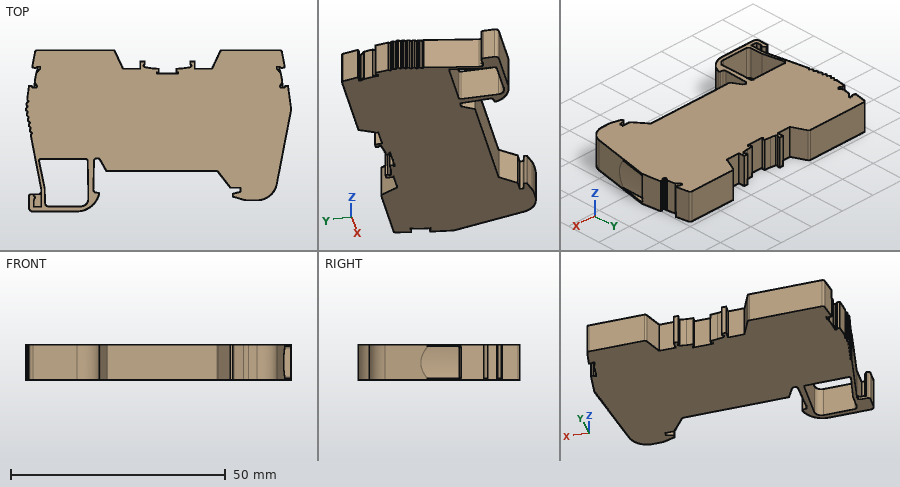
import cadquery as cq

LENGTH = 61.8
HEIGHT = 37.6
THICKNESS = 8.2
MID_X = LENGTH / 2

BEND_Y = 23.8
FOOT_SIDE_X = 58.4
FOOT_SIDE_Y = 6.2
SHOULDER_INSET = 0.75
SHOULDER_Y = 29.25
TOP_INSET = 2.2
FLANK_SLOPE = (LENGTH - FOOT_SIDE_X) / (BEND_Y - FOOT_SIDE_Y)

RECESS_X = 33.0
RECESS_TOP_HALF = 12.35
RECESS_FLOOR_HALF = 10.3
RECESS_Y = 33.25
LEDGE_HALF = 3.7
LEDGE_Y = 33.4
SLOT_HALF = 2.05
SLOT_Y = 32.15
SLOT_UNDERCUT = 0.45
SLOT_UNDERCUT_HEIGHT = 0.25
HOOK_OUTER = 6.35
HOOK_INNER = 5.25
HOOK_NECK = 5.6
HOOK_Y = 35.0
HOOK_LIP_Y = 34.4
HOOK_NECK_Y = 33.95
HOOK_BASE_Y = 33.6

SEAT_FLOOR = 0.4
SEAT_TOP_Y = 33.55
SEAT_TOP_INSET = 1.5
SEAT_LOWER_Y = 28.9

TOP_RADIUS = 0.55
RECESS_RADIUS = 0.5
CLIP_RADIUS = 0.55
FOOT_RADIUS = 0.9
RAIL_RADIUS = 0.3
LATCH_BLEND_RADIUS = 4.0
TIP_RADIUS = 0.25
WINDOW_TOP_RADIUS = 0.45
WINDOW_LEFT_RADIUS = 0.75
WINDOW_RIGHT_RADIUS = 1.75

RAIL_Y = 9.4
RAIL_START_X = 18.8
RAIL_END_X = 44.65
GAP_TOP_Y = 12.35
FOOT_Y = 2.6
FOOT_ARC = [(56.95, 3.8), (53.7, FOOT_Y)]
LATCH_Y = 5.5

FOOT_LEFT_X = 0.75
FOOT_RIM_Y = 4.1
SPRING_TIP = (17.2, 4.3)
SPRING_ARC = [(15.7, 1.6), (11.95, 0)]
WINDOW_TOP_Y = 12.25
WINDOW_BOTTOM_Y = 1.25
HOOK_WALL_X = 3.6
HOOK_POCKET_FLOOR = 0.85

GROOVE_COUNT = 7
GROOVE_PITCH = 1.25
GROOVE_TOP_Y = 25.65
GROOVE_HALF_WIDTH = 0.45
GROOVE_DEPTH = 0.4

FINGER_RIM = 0.4
FINGER_FLOOR_X = 60.0
FINGER_TOP_Y = 23.5
FINGER_WALL_RISE = 0.6
FINGER_FLOOR_BOW = 0.3
FINGER_END_RADIUS = 0.4


def mirrored(points, centre_x):
    """Mirror points about a line of constant X and reverse their order."""
    return [(2 * centre_x - x, y) for x, y in reversed(points)]


def prism(points, bottom=0.0, top=THICKNESS):
    """Closed polygon extruded between two Z levels."""
    return cq.Workplane("XY").workplane(offset=bottom).polyline(points).close().extrude(top - bottom)


def round_corners(solid, radius, corners):
    """Fillet the vertical edges standing at the given corners."""
    for x, y in corners:
        edge = cq.selectors.NearestToPointSelector((x, y, THICKNESS / 2))
        solid = solid.edges("|Z").edges(edge).fillet(radius)
    return solid


def left_flank_x(y):
    """X of the left flank at height y, on either side of the bend."""
    if y < BEND_Y:
        return FLANK_SLOPE * (BEND_Y - y)
    return SHOULDER_INSET * (y - BEND_Y) / (SHOULDER_Y - BEND_Y)


SEAT_WALL_FOOT = (2.0, SEAT_LOWER_Y)
SEAT_WALL_LOW = (2.05, 29.6)
SEAT_WALL_MID = (2.2, 31.15)
SEAT_WALL_HIGH = (2.55, 32.6)
SEAT_SHOULDER = [(SHOULDER_INSET, SHOULDER_Y), (1.35, SHOULDER_Y), (1.7, SEAT_LOWER_Y), SEAT_WALL_FOOT]
SEAT_HEAD = [(2.8, 33.15), (2.8, SEAT_TOP_Y), (2.3, 33.4), (SEAT_TOP_INSET, SEAT_TOP_Y)]

LEFT_RECESS = [
    (RECESS_X - RECESS_TOP_HALF, HEIGHT),
    (RECESS_X - RECESS_FLOOR_HALF, RECESS_Y),
    (RECESS_X - HOOK_OUTER, RECESS_Y),
    (RECESS_X - HOOK_OUTER, HOOK_Y),
    (RECESS_X - HOOK_INNER, HOOK_Y),
    (RECESS_X - HOOK_INNER, HOOK_LIP_Y),
    (RECESS_X - HOOK_NECK, HOOK_NECK_Y),
    (RECESS_X - HOOK_INNER, HOOK_BASE_Y),
    (RECESS_X - LEDGE_HALF, LEDGE_Y),
    (RECESS_X - SLOT_HALF, RECESS_Y),
    (RECESS_X - SLOT_HALF, SLOT_Y + SLOT_UNDERCUT_HEIGHT),
    (RECESS_X - SLOT_HALF - SLOT_UNDERCUT, SLOT_Y + SLOT_UNDERCUT_HEIGHT),
    (RECESS_X - SLOT_HALF - SLOT_UNDERCUT, SLOT_Y),
]

LATCH = [(51.2, FOOT_Y), (48.2, 3.45), (48.1, 4.15), (49.95, 4.65), (49.95, LATCH_Y), (47.65, LATCH_Y)]
GAP = [(17.1, GAP_TOP_Y), (15.95, GAP_TOP_Y), (15.75, 4.6)]
RAIL_CORNERS = [(RAIL_END_X, RAIL_Y), (RAIL_START_X, RAIL_Y)]
FLANK_FOOT = (HOOK_WALL_X, FOOT_RIM_Y)


def make_body():
    """Main plate with its outline traced clockwise from the lower left corner."""
    right_wall = mirrored([SEAT_WALL_LOW, SEAT_WALL_MID, SEAT_WALL_HIGH], MID_X)
    body = (
        cq.Workplane("XY")
        .moveTo(FOOT_LEFT_X, 0)
        .lineTo(FOOT_LEFT_X, FOOT_RIM_Y)
        .lineTo(*FLANK_FOOT)
        .lineTo(HOOK_WALL_X, BEND_Y - HOOK_WALL_X / FLANK_SLOPE)
        .lineTo(0, BEND_Y)
    )
    for point in SEAT_SHOULDER + [SEAT_WALL_LOW]:
        body = body.lineTo(*point)
    body = body.threePointArc(SEAT_WALL_MID, SEAT_WALL_HIGH)
    top = SEAT_HEAD + [(TOP_INSET, HEIGHT)] + LEFT_RECESS + mirrored(LEFT_RECESS, RECESS_X)
    top += [(LENGTH - TOP_INSET, HEIGHT)] + mirrored(SEAT_HEAD, MID_X) + right_wall[:1]
    for point in top:
        body = body.lineTo(*point)
    body = body.threePointArc(*right_wall[1:])
    for point in mirrored(SEAT_SHOULDER, MID_X) + [(LENGTH, BEND_Y), (FOOT_SIDE_X, FOOT_SIDE_Y)]:
        body = body.lineTo(*point)
    body = body.threePointArc(*FOOT_ARC)
    for point in LATCH + RAIL_CORNERS + GAP + [SPRING_TIP]:
        body = body.lineTo(*point)
    body = body.threePointArc(*SPRING_ARC).close().extrude(THICKNESS)

    body = round_corners(body, TOP_RADIUS, [(TOP_INSET, HEIGHT), (LENGTH - TOP_INSET, HEIGHT)])
    body = round_corners(body, RECESS_RADIUS, [LEFT_RECESS[0], mirrored(LEFT_RECESS, RECESS_X)[-1]])
    body = round_corners(body, CLIP_RADIUS, GAP + [(FOOT_LEFT_X, FOOT_RIM_Y), FLANK_FOOT])
    body = round_corners(body, FOOT_RADIUS, [(FOOT_LEFT_X, 0)])
    body = round_corners(body, RAIL_RADIUS, RAIL_CORNERS)
    body = round_corners(body, LATCH_BLEND_RADIUS, LATCH[:1])
    body = round_corners(body, TIP_RADIUS, [SPRING_TIP] + LATCH[1:4])
    return body


def make_window():
    corners = [(3.0, WINDOW_TOP_Y), (4.45, 5.45), (4.6, WINDOW_BOTTOM_Y), (14.6, WINDOW_BOTTOM_Y),
               (14.4, WINDOW_TOP_Y)]
    window = prism(corners)
    window = round_corners(window, WINDOW_TOP_RADIUS, [corners[0], corners[4]])
    window = round_corners(window, WINDOW_LEFT_RADIUS, [corners[2]])
    return round_corners(window, WINDOW_RIGHT_RADIUS, [corners[3]])


def make_hook_pocket():
    """Pocket behind the small hook, open towards +Y and closed at the bottom."""
    pocket = [(1.85, 1.2), (HOOK_WALL_X, 1.2), (HOOK_WALL_X, 4.7), (2.8, 4.7), (1.6, FOOT_RIM_Y),
              (2.2, 3.35), (1.85, 2.6)]
    return prism(pocket, HOOK_POCKET_FLOOR)


def make_seat_undercuts():
    """Undercuts at both ends of each marker seat, above a thin floor."""
    upper = [(2.65, 33.7), (3.4, 33.7), (3.4, 33.25), (2.5, 32.3)]
    lower = [(2.0, 30.35), (2.65, 29.2), (2.5, 28.8), (1.9, 28.8)]
    cutters = [prism(shape, SEAT_FLOOR) for shape in (upper, lower)]
    return cutters + [prism(mirrored(shape, MID_X), SEAT_FLOOR) for shape in (upper, lower)]


def make_groove(y):
    """V groove across the left flank at height y."""
    low = y - GROOVE_HALF_WIDTH
    high = y + GROOVE_HALF_WIDTH
    outside = -GROOVE_DEPTH
    tip = left_flank_x(y) + GROOVE_DEPTH
    return prism([(left_flank_x(low), low), (tip, y), (left_flank_x(high), high), (outside, y)])


def make_finger_recess():
    """Recess with a sloping upper wall and a slightly bowed floor, open downwards."""
    outside = LENGTH + FINGER_WALL_RISE
    flank_y = BEND_Y - (LENGTH - FINGER_FLOOR_X) / FLANK_SLOPE
    shape = [(FINGER_FLOOR_X, flank_y), (outside, flank_y),
             (outside, FINGER_TOP_Y + FINGER_WALL_RISE), (FINGER_FLOOR_X, FINGER_TOP_Y)]
    wedge = prism(shape, FINGER_RIM, THICKNESS - FINGER_RIM)
    side_x = FINGER_FLOOR_X + FINGER_FLOOR_BOW
    bowed_block = (
        cq.Workplane("XZ")
        .moveTo(outside, FINGER_RIM)
        .lineTo(side_x, FINGER_RIM)
        .threePointArc((FINGER_FLOOR_X, THICKNESS / 2), (side_x, THICKNESS - FINGER_RIM))
        .lineTo(outside, THICKNESS - FINGER_RIM)
        .close()
        .extrude(-HEIGHT)
    )
    recess = wedge.intersect(bowed_block)
    return recess.faces(">Y").faces("#Z").edges(">Z or <Z").fillet(FINGER_END_RADIUS)


result = make_body().cut(make_window()).cut(make_hook_pocket()).cut(make_finger_recess())
for undercut in make_seat_undercuts():
    result = result.cut(undercut)
for index in range(GROOVE_COUNT):
    result = result.cut(make_groove(GROOVE_TOP_Y - index * GROOVE_PITCH))